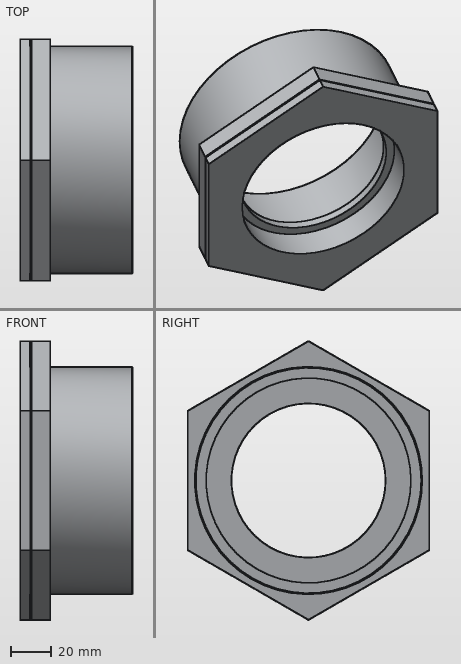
import cadquery as cq

TOTAL_LENGTH = 56.0
HEX_ACROSS_FLATS = 120.0
HEAD_LENGTH = 15.0
HEAD_GROOVE_START = 5.0
HEAD_GROOVE_WIDTH = 0.67
BODY_DIAMETER = 113.03
END_CHAMFER = 0.565

SOCKET_DIAMETER = 84.93
SOCKET_DEPTH = 15.0
LIP_DIAMETER = 76.43
LIP_LENGTH = 4.1
REAR_BORE_DIAMETER = 101.73

LIP_END = SOCKET_DEPTH + LIP_LENGTH


def cylinder(diameter, start, end):
    """Cylinder on the X axis between two X positions."""
    plane = cq.Workplane("YZ").workplane(offset=start)
    return plane.circle(diameter / 2).extrude(end - start)


def hex_plate(start, end):
    """Hexagonal plate on the X axis, with its corners pointing up and down along Z."""
    plane = cq.Workplane("YZ").workplane(offset=start)
    return plane.polygon(6, HEX_ACROSS_FLATS, circumscribed=True).extrude(end - start)


def make_body():
    """Round body with a chamfered free end; it is also the floor of the head groove."""
    body = cylinder(BODY_DIAMETER, 0, TOTAL_LENGTH)
    return body.faces(">X").chamfer(END_CHAMFER)


def make_head():
    """Hexagonal head, split by a groove into a thin front plate and a thicker rear plate."""
    front_plate = hex_plate(0, HEAD_GROOVE_START)
    rear_plate = hex_plate(HEAD_GROOVE_START + HEAD_GROOVE_WIDTH, HEAD_LENGTH)
    return front_plate.union(rear_plate)


def make_bore():
    """Stepped through bore: socket in the head, narrow stop lip, wide rear bore."""
    socket = cylinder(SOCKET_DIAMETER, 0, SOCKET_DEPTH)
    lip = cylinder(LIP_DIAMETER, SOCKET_DEPTH, LIP_END)
    rear = cylinder(REAR_BORE_DIAMETER, LIP_END, TOTAL_LENGTH)
    return socket.union(lip).union(rear)


result = make_body().union(make_head()).cut(make_bore())